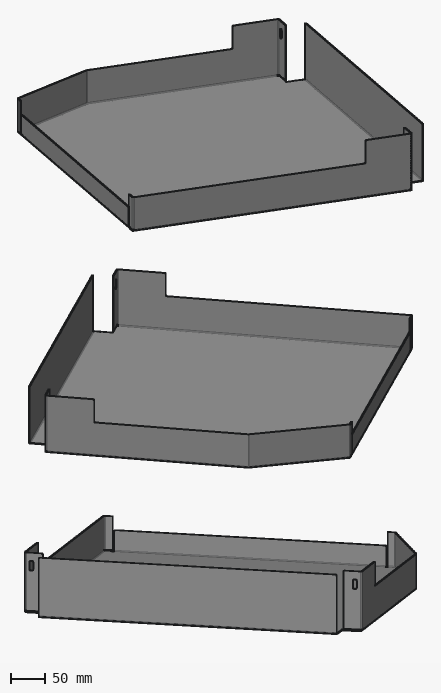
import cadquery as cq

width = 514.5
depth = 475.0
height = 90.0

sheet = 1.5
bend_radius = 2.5
corner_radius = 2.0
gap = 2.0

chamfer_x = 69.5
chamfer_y = 138.5

low_height = 53.5
tall_length = 74.0

back_inset = 30.5
rear_setback = 30.5
pan_depth = depth - rear_setback
rear_flange_width = back_inset - gap

front_height = 33.0
left_tab_end = 81.5
right_tab_end = width - 14.5
front_left = left_tab_end + gap
front_right = right_tab_end - gap
relief_depth = 4.0
side_bend_end = 1.0

slot_width = 6.0
slot_length = 15.0
slot_inset = 11.0
slot_height = 70.5


def box(x_range, y_range, z_range):
    """Box spanning the given (low, high) range along each axis."""
    low, high = zip(x_range, y_range, z_range)
    size = [b - a for a, b in zip(low, high)]
    return cq.Workplane("XY").box(*size, centered=False).translate(low)


def rounded_pan(inset):
    """Full-height block of the pan outline, moved inward on the sides and bottom by inset."""
    radius = bend_radius - inset
    outline = [
        (chamfer_x, 0),
        (width, 0),
        (width, pan_depth),
        (0, pan_depth),
        (0, chamfer_y),
    ]
    sketch = cq.Workplane("XY").workplane(offset=inset).polyline(outline).close()
    if inset:
        sketch = sketch.offset2D(-inset)
    block = sketch.extrude(height - inset)
    return block.edges("|Z").fillet(radius).faces("<Z").edges().fillet(radius)


def side_profile_cut():
    """Space above the low part of the side walls and above the front tabs."""
    step = pan_depth - tall_length
    return (
        cq.Workplane("YZ")
        .moveTo(-corner_radius, low_height)
        .lineTo(step - corner_radius, low_height)
        .radiusArc((step, low_height + corner_radius), -corner_radius)
        .lineTo(step, height - corner_radius)
        .radiusArc((step + corner_radius, height), corner_radius)
        .lineTo(-corner_radius, height)
        .close()
        .extrude(width)
    )


def front_cut():
    """Opening above the front wall, and the relief gaps at its ends."""
    opening = box((left_tab_end, right_tab_end), (0, relief_depth), (0, height))
    wall = box((front_left, front_right), (0, relief_depth), (0, front_height))
    wall = wall.edges("|Y and >Z").fillet(corner_radius)
    return opening.cut(wall)


def rear_cut():
    """Opening between the rear flanges, and the gap that frees them from the floor."""
    rear = (pan_depth - bend_radius, pan_depth)
    flange_height = (bend_radius, height)
    left = box((0, rear_flange_width), rear, flange_height)
    left = left.edges("|Y and >Z and >X").fillet(corner_radius)
    right = left.mirror("YZ").translate((width, 0, 0))
    flanges = left.union(right)
    return box((0, width), rear, (0, height)).cut(flanges)


def slots():
    """Upright slots through both rear flanges."""
    return (
        cq.Workplane("XZ", origin=(0, pan_depth, slot_height))
        .pushPoints([(slot_inset, 0), (width - slot_inset, 0)])
        .slot2D(slot_length, slot_width, 90)
        .extrude(bend_radius)
    )


def back_wall():
    """Floor tongue bent up into the full-height back wall."""
    start = pan_depth - bend_radius
    length = width - 2 * back_inset
    profile = (
        cq.Workplane("YZ", origin=(back_inset, 0, 0))
        .moveTo(start, 0)
        .lineTo(depth - bend_radius, 0)
        .radiusArc((depth, bend_radius), -bend_radius)
        .lineTo(depth, height)
        .lineTo(depth - sheet, height)
        .lineTo(depth - sheet, bend_radius)
        .radiusArc((depth - bend_radius, sheet), bend_radius - sheet)
        .lineTo(start, sheet)
        .close()
    )
    return profile.extrude(length).edges("|Y and >Z").fillet(corner_radius)


def rear_floor():
    """Flat floor strip under the rear flanges."""
    return box((bend_radius, width - bend_radius), (pan_depth - bend_radius, pan_depth), (0, sheet))


def front_right_cut():
    """Gap that frees the right front tab from the floor."""
    bend = (0, bend_radius)
    return box((right_tab_end, width), bend, bend)


def front_right_bend():
    """Floor and side bend running straight on below the right front tab."""
    bend_start = width - bend_radius
    profile = (
        cq.Workplane("XZ", origin=(0, side_bend_end, 0))
        .moveTo(right_tab_end, 0)
        .lineTo(bend_start, 0)
        .radiusArc((width, bend_radius), -bend_radius)
        .lineTo(width - sheet, bend_radius)
        .radiusArc((bend_start, sheet), bend_radius - sheet)
        .lineTo(right_tab_end, sheet)
        .close()
    )
    return profile.extrude(side_bend_end - bend_radius)


pan = rounded_pan(0).cut(rounded_pan(sheet))
for cutter in (side_profile_cut(), front_cut(), rear_cut(), slots(), front_right_cut()):
    pan = pan.cut(cutter)
result = pan.union(rear_floor()).union(back_wall()).union(front_right_bend())